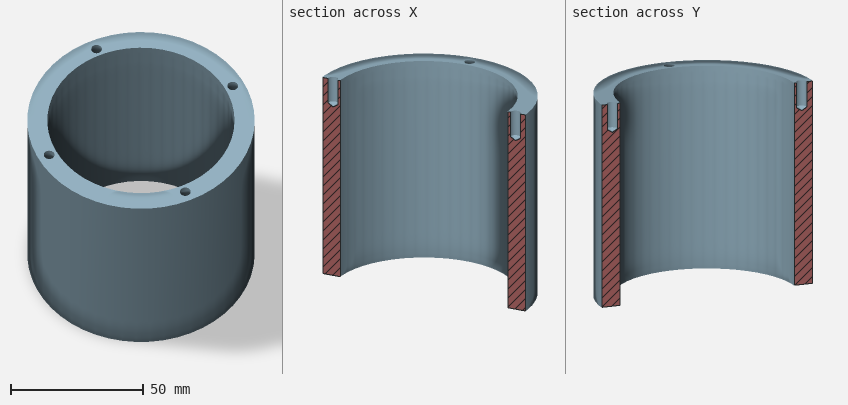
import cadquery as cq
import math

outer_diameter = 86.0
bore_diameter = 70.8
height = 80.0

hole_count = 4
hole_diameter = 4.0
hole_depth = 10.0
drill_point_angle = 118.0
hole_circle_diameter = 77.05


def tube():
    return (
        cq.Workplane("XY")
        .circle(outer_diameter / 2)
        .circle(bore_diameter / 2)
        .extrude(height)
    )


def drilled_hole():
    """Cutter for one hole on the +X side, turned about the hole axis."""
    radius = hole_diameter / 2
    point_length = radius / math.tan(math.radians(drill_point_angle / 2))
    shoulder_z = height - hole_depth
    return (
        cq.Workplane("XZ")
        .moveTo(0, height)
        .lineTo(radius, height)
        .lineTo(radius, shoulder_z)
        .lineTo(0, shoulder_z - point_length)
        .close()
        .revolve(360, (0, 0, 0), (0, 1, 0))
        .translate((hole_circle_diameter / 2, 0, 0))
    )


result = tube()
for index in range(hole_count):
    angle = index * 360 / hole_count
    result = result.cut(drilled_hole().rotate((0, 0, 0), (0, 0, 1), angle))